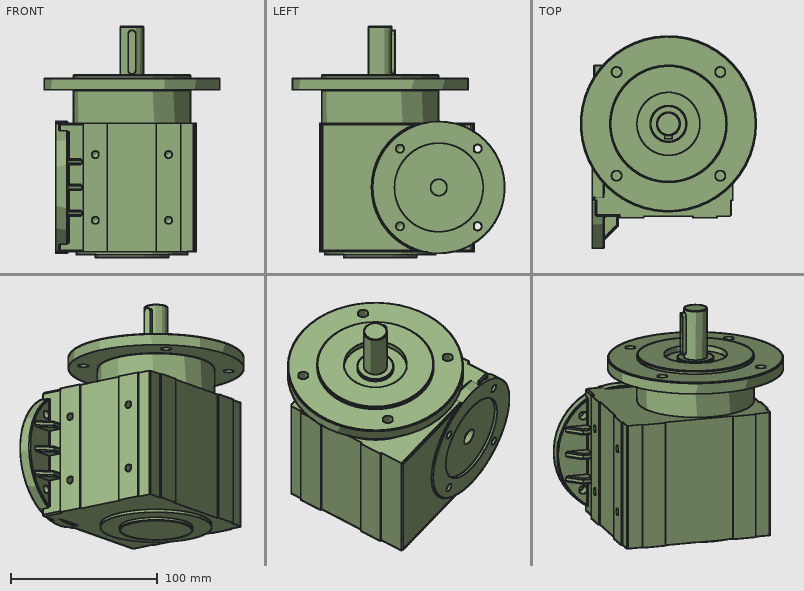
import cadquery as cq
import math

overall_height = 158.0

hub_top_z = 2.2
housing_bottom_z = 4.3
housing_top_z = 92.0
flange_bottom_z = 114.7
flange_top_z = 122.8
spigot_top_z = 125.0

housing_left_x = -51.0
housing_right_x = 42.8
housing_front_y = -63.0
housing_back_y = 40.0
front_step_y = -52.1
front_step_depth = 1.1
housing_edge_chamfer = 1.0
corner_chamfer = 1.1
housing_height = housing_top_z - housing_bottom_z
housing_mid_x = (housing_left_x + housing_right_x) / 2
housing_mid_y = (housing_front_y + housing_back_y) / 2
housing_mid_z = (housing_top_z + housing_bottom_z) / 2

pad_inner_x = 16.7
pad_outer_x = 33.2
pad_height = 1.1
side_pad_outer_offset = housing_mid_y - front_step_y
side_pad_inner_offset = side_pad_outer_offset - (pad_outer_x - pad_inner_x)
pad_hole_diameter = 4.9
pad_hole_x = (pad_inner_x + pad_outer_x) / 2
pad_hole_spacing_z = 44.9
pad_hole_depth = 9.5

hub_diameter = 76.0
hub_boss_diameter = 50.0
hub_boss_chamfer = 0.5
neck_diameter = 80.0
neck_chamfer = 0.6
output_flange_diameter = 120.0
output_rim_chamfer = 0.6
output_bolt_circle = 100.0
output_bolt_hole_diameter = 7.0
recess_diameter = 43.0
recess_depth = 4.0
collar_diameter = 25.0
collar_height = 2.0
collar_chamfer = 0.5
shaft_diameter = 16.0
shaft_chamfer = 0.5

key_width = 5.0
key_length = 29.9
key_bottom_z = 125.5
key_outer_y = -10.1

input_face_x = -52.0
input_thickness = 8.4
input_diameter = 90.0
input_y = -40.0
input_z = housing_mid_z
input_rim_chamfer = 0.8
input_back_x = input_face_x + input_thickness
input_root_blend = 0.8
input_bolt_circle = 74.9
input_bolt_hole_diameter = 5.5
input_bolt_hole_depth = 10.3
input_recess_diameter = 60.5
input_recess_depth = 2.0
input_bore_diameter = 11.2
input_bore_depth = 5.0

rib_thickness = 4.1
rib_spacing = 17.5
rib_end_x = -34.3
rib_straight_y = -69.5
rib_edge_chamfer = 1.0

drill_point_angle = 118.0


def disc(diameter, bottom_z, top_z):
    """Cylinder on the output axis."""
    return cq.Workplane("XY").workplane(offset=bottom_z).circle(diameter / 2).extrude(top_z - bottom_z)


def bolt_pattern(bolt_circle):
    """Four points on the diagonals of a bolt circle."""
    half_pitch = bolt_circle / 2 * math.cos(math.pi / 4)
    return [(a * half_pitch, b * half_pitch) for a in (-1, 1) for b in (-1, 1)]


def drilled_hole(start, direction, diameter, depth):
    """Blind hole with a conical drill point."""
    radius = diameter / 2
    point_length = radius / math.tan(math.radians(drill_point_angle / 2))
    start = cq.Vector(*start)
    direction = cq.Vector(*direction)
    bore = cq.Solid.makeCylinder(radius, depth, start, direction)
    point = cq.Solid.makeCone(radius, 0, point_length, start + direction * depth, direction)
    return cq.Workplane(obj=bore).union(cq.Workplane(obj=point))


def box_between(x_range, y_range, z_range):
    """Box spanning the given X, Y and Z ranges."""
    lows, highs = zip(x_range, y_range, z_range)
    sizes = [high - low for low, high in zip(lows, highs)]
    return cq.Workplane("XY").box(*sizes, centered=False).translate(lows)


def housing():
    """Block with its left side set back towards the front, and raised vertical pads."""
    step_left_x = housing_left_x + front_step_depth
    outline = [
        (housing_left_x, housing_back_y),
        (housing_left_x, front_step_y),
        (step_left_x, front_step_y),
        (step_left_x, housing_front_y),
        (housing_right_x, housing_front_y),
        (housing_right_x, housing_back_y),
    ]
    block = (
        cq.Workplane("XY").workplane(offset=housing_bottom_z)
        .polyline(outline).close()
        .extrude(housing_height)
    )
    block = block.edges("(|Z and (>Y or (<Y and >X))) or <X").chamfer(housing_edge_chamfer)

    z_range = (housing_bottom_z, housing_top_z)
    front_back_y = (housing_front_y - pad_height, housing_back_y + pad_height)
    right_x = (housing_mid_x, housing_right_x + pad_height)
    for side in (-1, 1):
        pad_x = sorted((side * pad_inner_x, side * pad_outer_x))
        block = block.union(box_between(pad_x, front_back_y, z_range))
        inner_y = housing_mid_y + side * side_pad_inner_offset
        outer_y = housing_mid_y + side * side_pad_outer_offset
        pad_y = sorted((inner_y, outer_y))
        block = block.union(box_between(right_x, pad_y, z_range))

    corner_start = (housing_left_x, housing_front_y - pad_height, 0)
    corner_end = (-pad_outer_x - pad_height, front_step_y - pad_height, overall_height)
    corner_edges = cq.selectors.BoxSelector(corner_start, corner_end)
    return block.edges(corner_edges).chamfer(corner_chamfer)


def output_side():
    """Hub below the housing; neck, flange and spigot above it."""
    boss = disc(hub_boss_diameter, 0, hub_top_z).faces("<Z").chamfer(hub_boss_chamfer)
    hub = boss.union(disc(hub_diameter, hub_top_z, housing_bottom_z))
    neck = disc(neck_diameter, housing_top_z, flange_bottom_z).faces(">Z").chamfer(neck_chamfer)
    flange = disc(output_flange_diameter, flange_bottom_z, flange_top_z)
    flange = flange.faces(">Z").chamfer(output_rim_chamfer)
    spigot = disc(neck_diameter, flange_top_z, spigot_top_z).faces(">Z").chamfer(neck_chamfer)
    recess = disc(recess_diameter, spigot_top_z - recess_depth, spigot_top_z)
    bolt_holes = (
        cq.Workplane("XY").workplane(offset=flange_bottom_z)
        .pushPoints(bolt_pattern(output_bolt_circle))
        .circle(output_bolt_hole_diameter / 2)
        .extrude(flange_top_z - flange_bottom_z)
    )
    return hub.union(neck).union(flange).union(spigot).cut(recess).cut(bolt_holes)


def shaft():
    """Shaft with a collar at its foot and a round-ended key on its front."""
    recess_floor_z = spigot_top_z - recess_depth
    collar = disc(collar_diameter, recess_floor_z, recess_floor_z + collar_height)
    collar = collar.faces(">Z").chamfer(collar_chamfer)
    rod = disc(shaft_diameter, recess_floor_z, overall_height).faces(">Z").chamfer(shaft_chamfer)
    key = (
        cq.Workplane("XZ").center(0, key_bottom_z + key_length / 2)
        .slot2D(key_length, key_width, 90)
        .extrude(-key_outer_y)
    )
    return collar.union(rod).union(key)


def input_flange():
    """Round flange on the left side with a chamfered back rim."""
    return (
        cq.Workplane("YZ").workplane(offset=input_face_x).center(input_y, input_z)
        .circle(input_diameter / 2)
        .extrude(input_thickness)
        .faces(">X").chamfer(input_rim_chamfer)
    )


def rim_blend():
    """Conical blend from the input flange rim to the housing side."""
    drop = housing_left_x - input_face_x
    base_radius = input_diameter / 2 + drop
    start = cq.Vector(housing_left_x, input_y, input_z)
    cone = cq.Solid.makeCone(base_radius, input_diameter / 2, drop, start, cq.Vector(-1, 0, 0))
    over_side = box_between(
        (input_face_x, housing_left_x), (front_step_y, housing_back_y), (housing_bottom_z, housing_top_z)
    )
    return cq.Workplane(obj=cone).intersect(over_side)


def root_blend():
    """Bevelled strip where the back of the input flange meets the housing front."""
    half_height = math.sqrt((input_diameter / 2) ** 2 - (housing_front_y - input_y) ** 2)
    half_height -= input_rim_chamfer
    corner = [
        (input_back_x, housing_front_y),
        (input_back_x + input_root_blend, housing_front_y),
        (input_back_x, housing_front_y - input_root_blend),
    ]
    return (
        cq.Workplane("XY").workplane(offset=input_z - half_height)
        .polyline(corner).close()
        .extrude(2 * half_height)
    )


def rib(mid_z):
    """Gusset between the back of the input flange and the housing front."""
    slope_end_y = rib_straight_y - (rib_end_x - input_back_x)
    outline = [
        (input_back_x, housing_front_y),
        (rib_end_x, housing_front_y),
        (rib_end_x, rib_straight_y),
        (input_back_x, slope_end_y),
    ]
    plate = (
        cq.Workplane("XY").workplane(offset=mid_z - rib_thickness / 2)
        .polyline(outline).close()
        .extrude(rib_thickness)
    )
    return plate.edges("(>X and |Y) or (not (|X or |Y or |Z))").chamfer(rib_edge_chamfer)


def input_cuts():
    """Recess, centre bore and bolt holes of the input flange."""
    recess_floor_x = input_face_x + input_recess_depth
    face = cq.Workplane("YZ").workplane(offset=input_face_x).center(input_y, input_z)
    cuts = face.circle(input_recess_diameter / 2).extrude(input_recess_depth)
    bore = (
        cq.Workplane("YZ").workplane(offset=recess_floor_x).center(input_y, input_z)
        .circle(input_bore_diameter / 2)
        .extrude(input_bore_depth)
    )
    cuts = cuts.union(bore)
    for y, z in bolt_pattern(input_bolt_circle):
        start = (input_face_x, input_y + y, input_z + z)
        cuts = cuts.union(drilled_hole(start, (1, 0, 0), input_bolt_hole_diameter, input_bolt_hole_depth))
    return cuts


def pad_holes():
    """List of the four blind holes in the front pads."""
    face_y = housing_front_y - pad_height
    half_spacing = pad_hole_spacing_z / 2
    return [
        drilled_hole((x, face_y, housing_mid_z + dz), (0, 1, 0), pad_hole_diameter, pad_hole_depth)
        for x in (-pad_hole_x, pad_hole_x)
        for dz in (-half_spacing, half_spacing)
    ]


result = housing().union(output_side()).union(shaft()).union(input_flange())
result = result.union(rim_blend()).union(root_blend())
for step in (-1, 0, 1):
    result = result.union(rib(input_z + step * rib_spacing))
result = result.cut(input_cuts())
for hole in pad_holes():
    result = result.cut(hole)